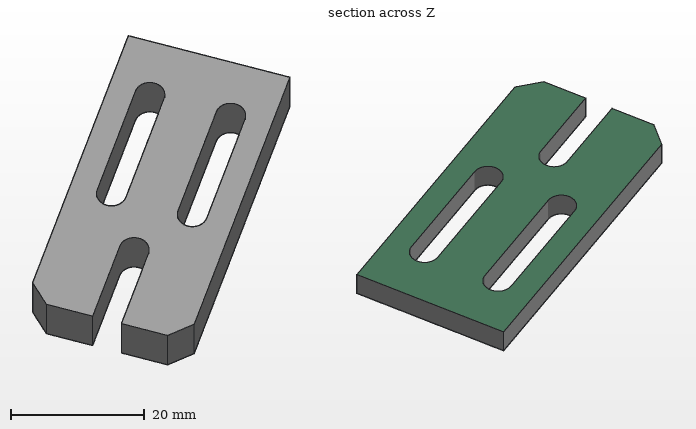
import cadquery as cq

plate_width = 25.4
plate_length = 50.8
plate_thickness = 7.62
corner_chamfer = 3.175

slot_width = 4.5
closed_slot_spacing = 12.7
closed_slot_travel = 19.05
closed_slot_back_margin = 9.4
open_slot_depth = 13.5

back_y = plate_length / 2
front_y = -plate_length / 2


def make_plate():
    """Rectangular plate with its two front corners cut at 45 degrees."""
    plate = cq.Workplane("XY").box(plate_width, plate_length, plate_thickness)
    return plate.edges("|Z and <Y").chamfer(corner_chamfer)


def slot_cutter(center_x, first_y, last_y):
    """Round-ended through cutter between two arc centres on a line along Y."""
    travel = last_y - first_y
    return (
        cq.Workplane("XY")
        .center(center_x, (first_y + last_y) / 2)
        .slot2D(travel + slot_width, slot_width, 90)
        .extrude(plate_thickness, both=True)
    )


result = make_plate()

rear_arc_y = back_y - closed_slot_back_margin
for side in (-1, 1):
    slot_x = side * closed_slot_spacing / 2
    result = result.cut(slot_cutter(slot_x, rear_arc_y - closed_slot_travel, rear_arc_y))

result = result.cut(slot_cutter(0, front_y - slot_width, front_y + open_slot_depth))